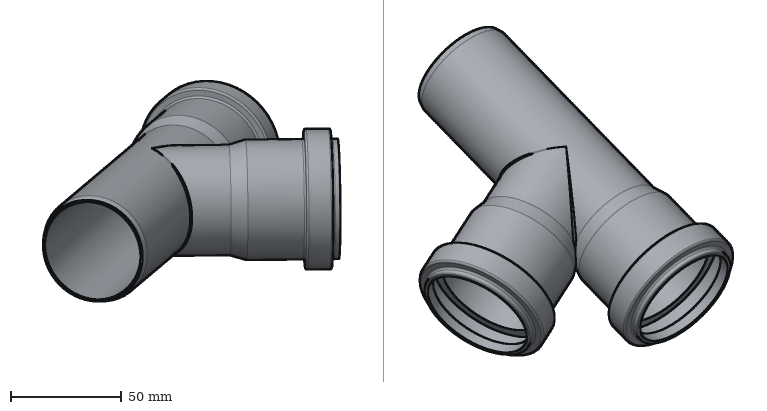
import math
import cadquery as cq

total_length = 161.0
pipe_radius = 50.2 / 2
pipe_bore_radius = 46.2 / 2
spigot_bevel_length = 3.4
spigot_bevel_depth = 1.0

branch_angle = 67.5
junction_to_mouth = 84.7
seam_half_angle = 1.0

socket_radius = 54.7 / 2
socket_bore_radius = 51.0 / 2
collar_radius = 63.9 / 2
collar_groove_radius = 60.4 / 2
collar_wall = collar_radius - collar_groove_radius
collar_length = 12.0
lip_length = 3.4
collar_rounding = 1.0
mouth_rounding = 0.5
socket_depth = 42.0
taper_length = 7.5

spigot_end = junction_to_mouth - total_length
collar_outer_end = junction_to_mouth - lip_length
collar_inner_end = collar_outer_end - collar_length
taper_end = junction_to_mouth - socket_depth
taper_start = taper_end - taper_length


def revolve_outline(outline):
    """Revolve a closed (radius, distance) outline about the Y axis."""
    return outline.close().revolve(360, (0, 0, 0), (0, 1, 0))


def socket_outside(start_points):
    """Solid pipe from the given starting outline to the socket mouth."""
    r = collar_rounding
    outline = (
        cq.Workplane("XY")
        .polyline(start_points + [(pipe_radius, taper_start), (socket_radius, taper_end)])
        .lineTo(socket_radius, collar_inner_end - r)
        .radiusArc((socket_radius + r, collar_inner_end), r)
        .lineTo(collar_radius - r, collar_inner_end)
        .radiusArc((collar_radius, collar_inner_end + r), -r)
        .lineTo(collar_radius, collar_outer_end - r)
        .radiusArc((collar_radius - r, collar_outer_end), -r)
        .lineTo(socket_radius + r, collar_outer_end)
        .radiusArc((socket_radius, collar_outer_end + r), r)
        .lineTo(socket_radius, junction_to_mouth - mouth_rounding)
        .radiusArc((socket_radius - mouth_rounding, junction_to_mouth), -mouth_rounding)
        .lineTo(0, junction_to_mouth)
    )
    return revolve_outline(outline)


def socket_inside(start):
    """Bore from the given start to the mouth, with the seal groove inside the collar."""
    groove_inner_end = collar_inner_end + collar_wall
    groove_outer_end = collar_outer_end - collar_wall
    outline = cq.Workplane("XY").polyline([
        (0, start),
        (pipe_bore_radius, start),
        (pipe_bore_radius, taper_start),
        (socket_bore_radius, taper_end),
        (socket_bore_radius, groove_inner_end),
        (collar_groove_radius, groove_inner_end),
        (collar_groove_radius, groove_outer_end),
        (socket_bore_radius, groove_outer_end),
        (socket_bore_radius, junction_to_mouth),
        (0, junction_to_mouth),
    ])
    return revolve_outline(outline)


def to_branch(shape):
    """Turn a shape from the main axis onto the branch axis."""
    return shape.rotate((0, 0, 0), (0, 0, 1), -branch_angle)


def seam_strip(seam_angle, half_corner):
    """Narrow strip bridging the two pipes along one seam.

    The seam leaves the junction at seam_angle (degrees from +X), and half_corner is the
    angle between it and either pipe axis. The strip is a thin wedge of an elliptical
    cylinder whose edges lie on the two pipes.
    """
    spread = math.radians(seam_half_angle)
    reach = pipe_radius * math.cos(spread) / math.sin(math.radians(half_corner) - spread)
    half_width = reach * math.tan(spread)
    elliptical = cq.Workplane("XZ").ellipse(reach, pipe_radius).extrude(half_width, both=True)
    wedge = (
        cq.Workplane("XY")
        .polyline([(0, 0), (reach, -half_width), (reach, half_width)])
        .close()
        .extrude(pipe_radius, both=True)
    )
    return elliptical.intersect(wedge).rotate((0, 0, 0), (0, 0, 1), seam_angle)


main_start = [
    (0, spigot_end),
    (pipe_radius - spigot_bevel_depth, spigot_end),
    (pipe_radius, spigot_end + spigot_bevel_length),
]
branch_start = [(0, 0), (pipe_radius, 0)]

upper_half_corner = branch_angle / 2
lower_half_corner = 90 - upper_half_corner

outside = (
    socket_outside(main_start)
    .union(to_branch(socket_outside(branch_start)))
    .union(seam_strip(90 - upper_half_corner, upper_half_corner))
    .union(seam_strip(-upper_half_corner, lower_half_corner))
)
inside = socket_inside(spigot_end).union(to_branch(socket_inside(0)))
result = outside.cut(inside)